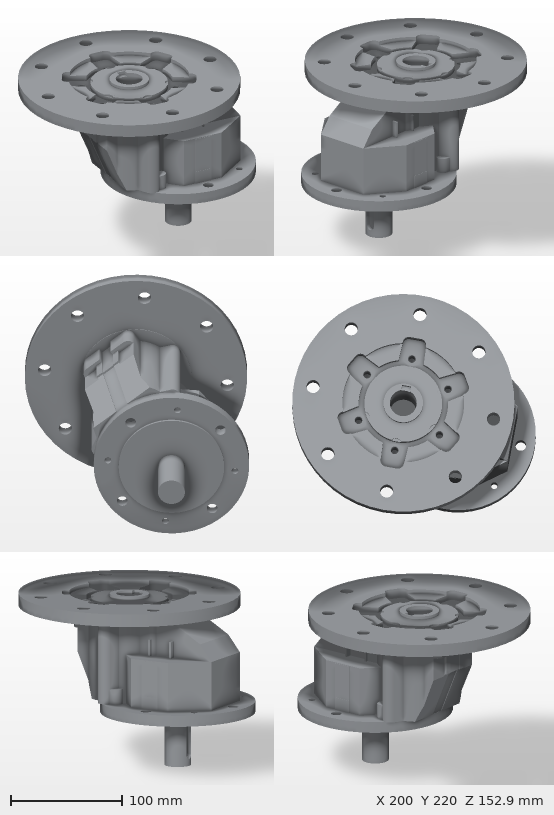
import cadquery as cq
import math


overall_length = 220.0
input_flange_radius = 100.0
output_flange_radius = 70.0
shaft_offset = overall_length - input_flange_radius - output_flange_radius

top_z = 94.0
input_flange_thickness = 11.5
input_hole_count = 8
input_hole_radius = 6.0
input_hole_circle = 82.5
lip_radius = 50.2
lip_height = 0.7
input_flange_bottom = top_z - input_flange_thickness
core_top = input_flange_bottom - lip_height

arm_count = 6
arm_pitch = 360 / arm_count
star_depth = 9.0
sector_depth = 4.0
sector_radius = 54.8
star_hub_radius = 40.3
arm_end = 60.5
arm_end_half_width = 10.3
arm_root_half_width = 11.5
arm_corner_radius = 5.5
ring_radius = 35.0
ring_depth = 4.0
ring_notch_radius = 5.5
ring_notch_circle = 37.8
ring_notch_depth = 1.5

screw_circle = 42.7
screw_radius = 3.3
screw_mouth_radius = 3.7
screw_depth = 13.2

core_radius = 38.5
screw_boss_radius = 7.0
flank_spread = 26.0
front_step_z = 62.7
front_wall_y = -40.5
front_pocket_y = -37.8
front_pocket_inner_x = 12.3
front_groove_half_width = 6.4
front_groove_depth = 0.7
slope_top_z = 43.5
slope_top_y = -38.7
slope_bottom_y = -20.2

case_half_width = 49.0
case_back_half_width = 25.5
case_front_half_width = 35.2
case_back_y = 99.9
case_back_corner_y = 68.2
case_front_corner_y = 30.0
case_front_y = 16.5
case_height = 44.7
roof_break_y = 88.0
roof_break_z = 59.6
roof_ridge_y = 53.7
roof_top = 79.9
case_rib_half_width = 30.8
case_rib_thickness = 1.8
case_rib_spacing = 21.8
case_rib_center_y = 48.8
case_rib_top = roof_break_z
case_pad_width = 16.3
case_pad_center_y = 49.3
case_pad_height = 44.0
case_pad_step_z = 11.7
case_pad_projection = 0.5
case_pad_foot_projection = 0.7

output_flange_thickness = 10.1
spigot_radius = 47.5
spigot_height = 2.2
output_hole_count = 4
output_hole_pitch = 360 / output_hole_count
output_hole_circle = 57.5
output_hole_radius = 4.8
small_hole_radius = 3.0
foot_boss_radius = 5.7
foot_boss_height = 13.6
spigot_bottom = -output_flange_thickness - spigot_height

bore_radius = 12.0
bore_depth = 44.0
sleeve_recess = 0.9
sleeve_radius = 17.8
sleeve_floor = 4.5
collar_radius = 31.2
collar_thickness = 8.8
input_key_width = 8.0
input_key_reach = 16.0
input_key_depth = 3.5

output_shaft_radius = 12.0
output_shaft_length = 46.6
output_key_width = 8.0
output_key_depth = 4.0
output_key_start = 6.4
output_key_length = 33.9


def cylinder(radius, bottom, top, x=0.0, y=0.0):
    return cq.Workplane("XY", origin=(x, y, bottom)).circle(radius).extrude(top - bottom)


def block(x_range, y_range, z_range):
    (x0, x1), (y0, y1), (z0, z1) = x_range, y_range, z_range
    return cq.Workplane("XY").box(x1 - x0, y1 - y0, z1 - z0, centered=False).translate((x0, y0, z0))


def centered_block(half_width, depth, height, center_y):
    """Block standing on the output flange, symmetric across X."""
    return block((-half_width, half_width), (center_y - depth / 2, center_y + depth / 2), (0, height))


def prism(points, bottom, top):
    return cq.Workplane("XY", origin=(0, 0, bottom)).polyline(points).close().extrude(top - bottom)


def spin(shape, angle):
    return shape.rotate((0, 0, 0), (0, 0, 1), angle)


def polar(radius, angle):
    return radius * math.cos(math.radians(angle)), radius * math.sin(math.radians(angle))


def screw_boss(angle):
    """Boss around one screw, with two tangent flanks that spread towards the core."""
    flank_angle = 90 - flank_spread
    tangent_x = screw_circle + screw_boss_radius * math.cos(math.radians(flank_angle))
    tangent_y = screw_boss_radius * math.sin(math.radians(flank_angle))
    root_x = core_radius / 2
    root_y = tangent_y + (tangent_x - root_x) / math.tan(math.radians(flank_angle))
    web = prism(
        [(tangent_x, tangent_y), (root_x, root_y), (root_x, -root_y), (tangent_x, -tangent_y)], 0, core_top
    )
    return spin(cylinder(screw_boss_radius, 0, core_top, screw_circle).union(web), angle)


def slope_cutter(half_width, depth):
    """Wedge that removes everything below the sloped front face, set back by depth along Y."""
    front_limit = -input_flange_radius
    points = [
        (slope_bottom_y + depth, 0),
        (slope_top_y + depth, slope_top_z),
        (front_limit, slope_top_z),
        (front_limit, 0),
    ]
    return cq.Workplane("YZ").polyline(points).close().extrude(half_width, both=True)


def core():
    body = cylinder(core_radius, 0, core_top)
    for index in range(arm_count):
        body = body.union(screw_boss(index * arm_pitch))

    boss_x, boss_y = polar(screw_circle, -arm_pitch)
    front_y = boss_y - screw_boss_radius
    body = body.union(block((-boss_x, boss_x), (front_y, 0), (0, core_top)))

    side = boss_x + screw_boss_radius
    body = body.cut(block((-side, side), (front_y, front_wall_y), (0, front_step_z)))
    for x_range in ((-side, -front_pocket_inner_x), (front_pocket_inner_x, side)):
        body = body.cut(block(x_range, (front_y, front_pocket_y), (0, front_step_z)))
    groove = (-front_groove_half_width, front_groove_half_width)
    body = body.cut(block(groove, (front_y, front_wall_y + front_groove_depth), (0, core_top)))
    body = body.cut(slope_cutter(lip_radius, 0))
    return body.cut(slope_cutter(front_groove_half_width, front_groove_depth))


def gear_case():
    right_side = [
        (case_front_half_width, case_front_y),
        (case_half_width, case_front_corner_y),
        (case_half_width, case_back_corner_y),
        (case_back_half_width, case_back_y),
    ]
    left_side = [(-x, y) for x, y in reversed(right_side)]
    body = prism(right_side + left_side, 0, case_height)

    roof_outline = [
        (0, 0),
        (case_back_y, 0),
        (case_back_y, case_height),
        (roof_break_y, roof_break_z),
        (roof_ridge_y, roof_top),
        (0, roof_top),
    ]
    roof = cq.Workplane("YZ").polyline(roof_outline).close().extrude(case_back_half_width, both=True)
    body = body.union(roof)

    for side in (-1, 1):
        rib_y = case_rib_center_y + side * case_rib_spacing / 2
        rib = centered_block(case_rib_half_width, case_rib_thickness, case_rib_top, rib_y)
        body = body.union(rib)

    for projection, height in (
        (case_pad_projection, case_pad_height),
        (case_pad_foot_projection, case_pad_step_z),
    ):
        pad = centered_block(case_half_width + projection, case_pad_width, height, case_pad_center_y)
        body = body.union(pad)
    return body


def output_flange():
    body = cylinder(output_flange_radius, -output_flange_thickness, 0, 0, shaft_offset)
    body = body.union(cylinder(spigot_radius, spigot_bottom, 0, 0, shaft_offset))
    for index in range(output_hole_count):
        large_angle = index * output_hole_pitch
        small_angle = large_angle + output_hole_pitch / 2
        for radius, angle in ((output_hole_radius, large_angle), (small_hole_radius, small_angle)):
            x, y = polar(output_hole_circle, angle)
            body = body.cut(cylinder(radius, spigot_bottom, 0, x, shaft_offset + y))
    return body


def foot_boss(side):
    """Boss over the small flange hole nearest the core on one side, with a web to the side arm."""
    x, y = polar(output_hole_circle, -output_hole_pitch / 2)
    y += shaft_offset
    outer = side * (x + foot_boss_radius)
    inner = side * core_radius / 2
    web = block((min(outer, inner), max(outer, inner)), (0, y), (0, foot_boss_height))
    return cylinder(foot_boss_radius, 0, foot_boss_height, side * x, y).union(web)


def star_pocket():
    floor = top_z - star_depth
    pocket = cylinder(star_hub_radius, floor, top_z)
    arm_points = [
        (0, -arm_root_half_width),
        (star_hub_radius, -arm_root_half_width),
        (arm_end, -arm_end_half_width),
        (arm_end, arm_end_half_width),
        (star_hub_radius, arm_root_half_width),
        (0, arm_root_half_width),
    ]
    arm = prism(arm_points, floor, top_z).edges("|Z and >X").fillet(arm_corner_radius)
    for index in range(arm_count):
        pocket = pocket.union(spin(arm, index * arm_pitch))
    pocket = pocket.union(cylinder(sector_radius, top_z - sector_depth, top_z))

    ring_top = top_z - ring_depth
    ring = cylinder(ring_radius, floor, ring_top)
    for index in range(arm_count):
        x, y = polar(ring_notch_circle, index * arm_pitch)
        ring = ring.cut(cylinder(ring_notch_radius, ring_top - ring_notch_depth, ring_top, x, y))
    return pocket.cut(ring)


def screw_hole():
    """Countersunk blind hole with a conical bottom."""
    countersink = screw_mouth_radius - screw_radius
    profile = [
        (0, 0),
        (screw_mouth_radius, 0),
        (screw_radius, -countersink),
        (screw_radius, -screw_depth),
        (0, -screw_depth - screw_radius),
    ]
    hole = cq.Workplane("XZ").polyline(profile).close().revolve(360, (0, 0, 0), (0, 1, 0))
    return hole.translate((screw_circle, 0, top_z - star_depth))


def input_flange():
    body = cylinder(input_flange_radius, input_flange_bottom, top_z)
    for index in range(input_hole_count):
        x, y = polar(input_hole_circle, index * 360 / input_hole_count)
        body = body.cut(cylinder(input_hole_radius, input_flange_bottom, top_z, x, y))
    return body.union(cylinder(lip_radius, core_top, top_z))


def build_housing():
    body = core().union(gear_case()).union(output_flange()).union(input_flange())
    for side in (-1, 1):
        body = body.union(foot_boss(side))
    body = body.cut(star_pocket())
    for index in range(arm_count):
        body = body.cut(spin(screw_hole(), index * arm_pitch))
    body = body.cut(input_shaft_envelope())
    return body.cut(cylinder(output_shaft_radius, spigot_bottom, 0, 0, shaft_offset))


def input_shaft_envelope():
    """Collar and sleeve of the hollow shaft, without the bore."""
    collar_top = top_z - ring_depth
    collar = cylinder(collar_radius, collar_top - collar_thickness, collar_top)
    return collar.union(cylinder(sleeve_radius, top_z - bore_depth - sleeve_floor, top_z - sleeve_recess))


def build_input_shaft():
    bore = cylinder(bore_radius, top_z - bore_depth, top_z)
    half_key = input_key_width / 2
    sleeve_top = top_z - sleeve_recess
    keyway = block((-input_key_reach, 0), (-half_key, half_key), (sleeve_top - input_key_depth, sleeve_top))
    return input_shaft_envelope().cut(bore).cut(keyway)


def build_output_shaft():
    shaft_end = spigot_bottom - output_shaft_length
    shaft = cylinder(output_shaft_radius, shaft_end, 0, 0, shaft_offset)
    key_center_z = spigot_bottom - output_key_start - output_key_length / 2
    key_floor_y = shaft_offset + output_shaft_radius - output_key_depth
    keyway = (
        cq.Workplane("XZ", origin=(0, key_floor_y, key_center_z))
        .slot2D(output_key_length, output_key_width, 90)
        .extrude(-output_shaft_radius)
    )
    return shaft.cut(keyway)


housing = build_housing()
input_shaft = build_input_shaft()
output_shaft = build_output_shaft()

result = cq.Compound.makeCompound([housing.val(), input_shaft.val(), output_shaft.val()])